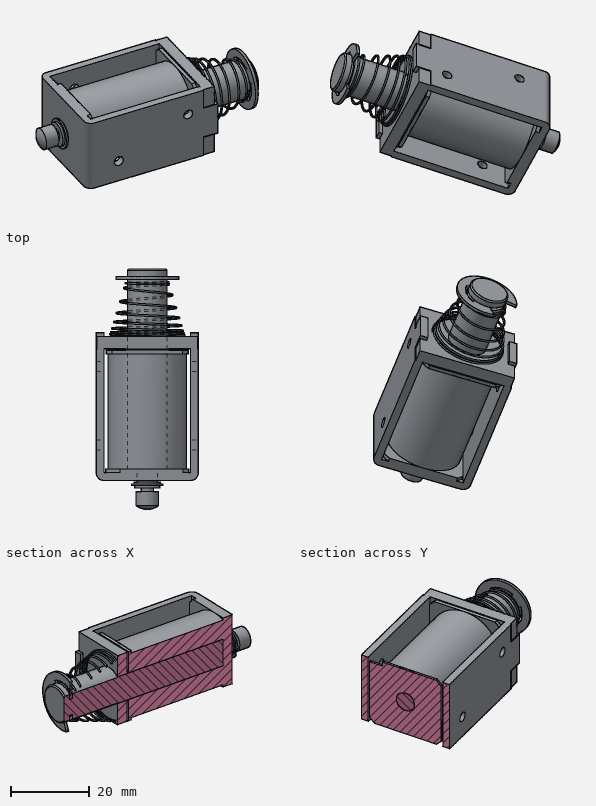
import cadquery as cq
import math


FRAME_WIDTH = 26.0
FRAME_HEIGHT = 20.0
WALL = 2.0
PLATE_INNER_Y = 33.55
PLATE_OUTER_Y = 36.7
TAB_END_Y = 37.65
TAB_HEIGHT = 9.0
PLATE_SIDE_STEP = 0.25
SIDE_HOLE_DIAMETER = 2.6
SIDE_HOLE_OFFSET_Z = 4.0
FRONT_HOLE_Y = 9.05
REAR_HOLE_Y = 29.1

COIL_RADIUS = FRAME_HEIGHT / 2
FLANGE_THICKNESS = 1.0
FLANGE_CORNER = 1.45
FRONT_FLANGE_WIDTH = 21.25
REAR_FLANGE_WIDTH = 20.85
FLANGE_PLATE_GAP = 0.3
NECK_RADIUS = 5.45
NOTCH_WIDTH = 3.75
NOTCH_DEPTH = 1.2
FRONT_FLANGE_END_Y = WALL + FLANGE_THICKNESS
REAR_FLANGE_END_Y = PLATE_INNER_Y - FLANGE_PLATE_GAP
REAR_FLANGE_START_Y = REAR_FLANGE_END_Y - FLANGE_THICKNESS

NOSE_TIP_Y = -7.35
NOSE_EDGE_Y = -6.35
NOSE_RADIUS = 2.9
NOSE_BACK_Y = -2.8
FRONT_GROOVE_RADIUS = 1.6
COLLAR_FRONT_Y = -1.9
COLLAR_RADIUS = 3.25
COLLAR_SLOT_WIDTH = 2.3
COLLAR_SLOT_DIRECTION = 225.0
DISC_FRONT_Y = -1.3
DISC_RADIUS = 4.05
WASHER_FRONT_Y = -0.8
WASHER_RADIUS = 3.4
WASHER_BACK_Y = -0.35
ROD_RADIUS = 2.6
PLUNGER_RADIUS = 5.1
PLUNGER_LENGTH = 61.2
PLUNGER_END_Y = NOSE_TIP_Y + PLUNGER_LENGTH
END_CHAMFER = 0.35

CLIP_START_Y = 51.15
CLIP_THICKNESS = 0.8
CLIP_END_Y = CLIP_START_Y + CLIP_THICKNESS
CLIP_OUTER_RADIUS = 8.0
CLIP_BORE_RADIUS = 4.15
CLIP_RELIEF_RADIUS = 5.8
CLIP_RELIEF_SPAN = 70.0
CLIP_RELIEF_OFFSET = 125.0
CLIP_MOUTH_ANGLE = 72.0
CLIP_THROAT_ANGLE = 88.0
CLIP_DIRECTION = 220.0

SPRING_WIRE_RADIUS = 0.215
SPRING_BASE_RADIUS = 9.5
SPRING_TAPER = 0.3
SPRING_START_HEIGHT = 0.25
SPRING_CLOSED_RISE = 0.5
SPRING_OPEN_RISE = 0.35
SPRING_RISE_GROWTH = 0.32
SPRING_OPEN_TURNS = 5.3
SPRING_FADE_TURNS = 0.8
SPRING_TURNS = 8
SPRING_POINTS_PER_TURN = 16


def box(x_range, y_range, z_range):
    """Axis-aligned block between the given limits."""
    size = [high - low for low, high in (x_range, y_range, z_range)]
    corner = (x_range[0], y_range[0], z_range[0])
    return cq.Workplane("XY").box(*size, centered=False).translate(corner)


def centered_block(width, y_start, y_end, height):
    """Block centred on the plunger axis."""
    return box((-width / 2, width / 2), (y_start, y_end), (-height / 2, height / 2))


def rod(radius, y_start, y_end):
    """Cylinder along the plunger axis."""
    plane = cq.Workplane("XZ", origin=(0, y_start, 0))
    return plane.circle(radius).extrude(y_start - y_end)


def turned_about_axis(shape, angle):
    """Turn a shape about the plunger axis, from +X towards +Z."""
    return shape.rotate((0, 0, 0), (0, -1, 0), angle)


def make_frame():
    """Rectangular frame with rounded front corners, plate tabs and side holes."""
    frame = centered_block(FRAME_WIDTH, 0, TAB_END_Y, FRAME_HEIGHT)
    frame = frame.edges("|Z and <Y").fillet(WALL)
    inner_width = FRAME_WIDTH - 2 * WALL
    frame = frame.cut(centered_block(inner_width, WALL, PLATE_INNER_Y, FRAME_HEIGHT))

    frame = frame.cut(centered_block(inner_width, PLATE_OUTER_Y, TAB_END_Y, FRAME_HEIGHT))
    beside_tabs = centered_block(FRAME_WIDTH, PLATE_INNER_Y, TAB_END_Y, FRAME_HEIGHT)
    beside_tabs = beside_tabs.cut(centered_block(FRAME_WIDTH, PLATE_INNER_Y, TAB_END_Y, TAB_HEIGHT))
    plate_width = FRAME_WIDTH - 2 * PLATE_SIDE_STEP
    plate = centered_block(plate_width, PLATE_INNER_Y, PLATE_OUTER_Y, FRAME_HEIGHT)
    frame = frame.cut(beside_tabs.cut(plate))

    for side in (-1, 1):
        offset_z = side * SIDE_HOLE_OFFSET_Z
        for hole_y, hole_z in ((FRONT_HOLE_Y, -offset_z), (REAR_HOLE_Y, offset_z)):
            plane = cq.Workplane("YZ", origin=(side * FRAME_WIDTH / 2, hole_y, hole_z))
            frame = frame.cut(plane.circle(SIDE_HOLE_DIAMETER / 2).extrude(-side * WALL))
    return frame


def make_flange(width, y_start):
    """Bobbin flange with chamfered corners."""
    flange = centered_block(width, y_start, y_start + FLANGE_THICKNESS, FRAME_HEIGHT)
    return flange.edges("|Y").chamfer(FLANGE_CORNER)


def make_front_flange():
    """Front flange, with its upper -X corner left square and cut down by a notch."""
    half_width = FRONT_FLANGE_WIDTH / 2
    top = FRAME_HEIGHT / 2
    thickness_range = (WALL, FRONT_FLANGE_END_Y)
    corner_x = (-half_width, NOTCH_WIDTH - half_width)
    square_corner = box(corner_x, thickness_range, (top - 2 * FLANGE_CORNER, top))
    notch = box(corner_x, thickness_range, (top - NOTCH_DEPTH, top))
    return make_flange(FRONT_FLANGE_WIDTH, WALL).union(square_corner).cut(notch)


def make_housing():
    """Frame, bobbin and coil in one, bored for the plunger."""
    housing = make_frame()
    housing = housing.union(make_front_flange())
    coil = rod(COIL_RADIUS, FRONT_FLANGE_END_Y, REAR_FLANGE_START_Y)
    housing = housing.union(coil)
    housing = housing.union(make_flange(REAR_FLANGE_WIDTH, REAR_FLANGE_START_Y))
    housing = housing.union(rod(NECK_RADIUS, REAR_FLANGE_END_Y, PLATE_INNER_Y))
    housing = housing.cut(rod(ROD_RADIUS, 0, FRONT_FLANGE_END_Y))
    return housing.cut(rod(PLUNGER_RADIUS, FRONT_FLANGE_END_Y, PLATE_OUTER_Y))


def make_nose():
    """Pin head with a domed tip."""
    dome_height = NOSE_EDGE_Y - NOSE_TIP_Y
    dome_radius = (NOSE_RADIUS**2 + dome_height**2) / (2 * dome_height)
    dome_center_y = NOSE_TIP_Y + dome_radius
    half_angle = math.asin(NOSE_RADIUS / dome_radius) / 2
    dome_middle = (
        dome_radius * math.sin(half_angle),
        dome_center_y - dome_radius * math.cos(half_angle),
    )
    profile = (
        cq.Workplane("XY")
        .moveTo(0, NOSE_TIP_Y)
        .threePointArc(dome_middle, (NOSE_RADIUS, NOSE_EDGE_Y))
        .lineTo(NOSE_RADIUS, NOSE_BACK_Y)
        .lineTo(0, NOSE_BACK_Y)
        .close()
    )
    return profile.revolve(360, (0, 0, 0), (0, 1, 0))


def make_plunger():
    """Stepped plunger with its front stop collar and the rear clip groove."""
    collar = rod(COLLAR_RADIUS, COLLAR_FRONT_Y, DISC_FRONT_Y)
    half_slot = COLLAR_SLOT_WIDTH / 2
    slot = box((0, COLLAR_RADIUS), (COLLAR_FRONT_Y, DISC_FRONT_Y), (-half_slot, half_slot))
    collar = collar.cut(turned_about_axis(slot, COLLAR_SLOT_DIRECTION))
    body = rod(PLUNGER_RADIUS, FRONT_FLANGE_END_Y, PLUNGER_END_Y)
    body = body.faces(">Y").chamfer(END_CHAMFER)
    groove = rod(PLUNGER_RADIUS, CLIP_START_Y, CLIP_END_Y)
    groove = groove.cut(rod(CLIP_BORE_RADIUS, CLIP_START_Y, CLIP_END_Y))

    plunger = make_nose()
    plunger = plunger.union(rod(FRONT_GROOVE_RADIUS, NOSE_BACK_Y, DISC_FRONT_Y))
    plunger = plunger.union(collar)
    plunger = plunger.union(rod(DISC_RADIUS, DISC_FRONT_Y, WASHER_FRONT_Y))
    plunger = plunger.union(rod(WASHER_RADIUS, WASHER_FRONT_Y, WASHER_BACK_Y))
    plunger = plunger.union(rod(ROD_RADIUS, WASHER_BACK_Y, FRONT_FLANGE_END_Y))
    return plunger.union(body.cut(groove))


def polar(radius, angle):
    """X and Z of a point about the plunger axis, with the angle in degrees."""
    return (radius * math.cos(math.radians(angle)), radius * math.sin(math.radians(angle)))


def make_clip_relief():
    """Sector that widens the clip's bore, pointing along +X."""
    half_span = CLIP_RELIEF_SPAN / 2
    sector = (
        cq.Workplane("XZ", origin=(0, CLIP_START_Y, 0))
        .lineTo(*polar(CLIP_RELIEF_RADIUS, -half_span))
        .threePointArc((CLIP_RELIEF_RADIUS, 0), polar(CLIP_RELIEF_RADIUS, half_span))
        .close()
    )
    return sector.extrude(-CLIP_THICKNESS)


def make_clip_opening():
    """Cutter for the clip's open side, pointing along +X."""
    half_mouth = CLIP_MOUTH_ANGLE / 2
    half_throat = CLIP_THROAT_ANGLE / 2
    outline = (
        cq.Workplane("XZ", origin=(0, CLIP_START_Y, 0))
        .moveTo(*polar(CLIP_BORE_RADIUS, -half_throat))
        .lineTo(*polar(CLIP_OUTER_RADIUS, -half_mouth))
        .threePointArc((CLIP_OUTER_RADIUS, 0), polar(CLIP_OUTER_RADIUS, half_mouth))
        .lineTo(*polar(CLIP_BORE_RADIUS, half_throat))
        .close()
    )
    return outline.extrude(-CLIP_THICKNESS)


def make_retaining_clip():
    """E-shaped clip, open on one side, with two relief pockets in its bore."""
    clip = rod(CLIP_OUTER_RADIUS, CLIP_START_Y, CLIP_END_Y)
    clip = clip.cut(rod(CLIP_BORE_RADIUS, CLIP_START_Y, CLIP_END_Y))
    clip = clip.cut(turned_about_axis(make_clip_opening(), CLIP_DIRECTION))
    for side in (-1, 1):
        relief_direction = CLIP_DIRECTION + side * CLIP_RELIEF_OFFSET
        clip = clip.cut(turned_about_axis(make_clip_relief(), relief_direction))
    return clip


def spring_height(turn):
    """Height of the wire's centre: a closed turn, open turns of growing climb, closed turns."""
    open_turn = min(max(turn - 1, 0), SPRING_OPEN_TURNS)
    fade_turn = min(max(turn - 1 - SPRING_OPEN_TURNS, 0), SPRING_FADE_TURNS)
    closed_turn = turn - open_turn
    last_rise = SPRING_OPEN_RISE + 2 * SPRING_RISE_GROWTH * SPRING_OPEN_TURNS
    excess_rise = last_rise - SPRING_CLOSED_RISE
    return (
        SPRING_START_HEIGHT
        + SPRING_CLOSED_RISE * closed_turn
        + SPRING_OPEN_RISE * open_turn
        + SPRING_RISE_GROWTH * open_turn**2
        + excess_rise * (fade_turn - fade_turn**2 / (2 * SPRING_FADE_TURNS))
    )


def spring_point(turn):
    """Point on the centre line of the wire."""
    height = spring_height(turn)
    radius = SPRING_BASE_RADIUS - SPRING_TAPER * height
    angle = 2 * math.pi * turn
    return (radius * math.cos(angle), PLATE_OUTER_Y + height, radius * math.sin(angle))


def make_spring():
    """Round wire swept along a conical coil of growing pitch."""
    steps = SPRING_TURNS * SPRING_POINTS_PER_TURN
    points = [spring_point(step / SPRING_POINTS_PER_TURN) for step in range(steps + 1)]
    path = cq.Workplane("XY").spline([cq.Vector(*point) for point in points])
    start = path.val().startPoint()
    wire_plane = cq.Plane(origin=start, normal=path.val().tangentAt(0))
    return cq.Workplane(wire_plane).circle(SPRING_WIRE_RADIUS).sweep(path, isFrenet=True)


housing = make_housing()
plunger = make_plunger()
retaining_clip = make_retaining_clip()
spring = make_spring()

result = cq.Compound.makeCompound(
    [housing.val(), plunger.val(), retaining_clip.val(), spring.val()]
)